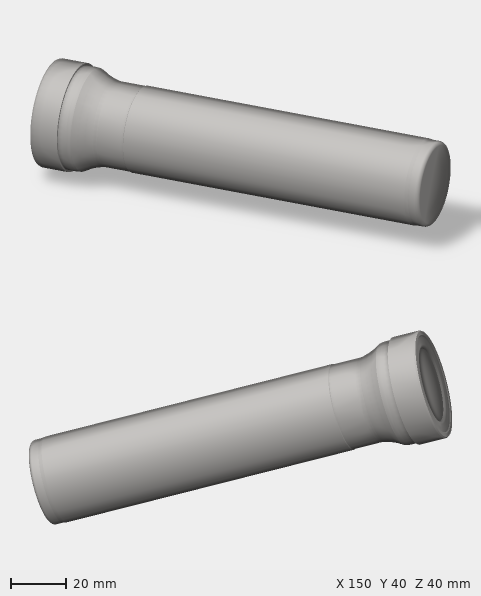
import cadquery as cq
import math

length = 150.0
joint_x = 34.5

head_radius = 40.0 / 2
head_end_x = 10.5
head_edge_length = 0.6
head_edge_drop = 0.3
collar_radius = 19.2
collar_end_x = 13.6
neck_radius = 31.5 / 2

rounding_length = 1.8
flare_start_radius = 38.0 / 2
front_rounding_drop = collar_radius - flare_start_radius
rear_rounding_drop = 0.22
neck_start_x = 24.5
flare_sag = 0.37

recess_mouth_radius = 18.3
bevel_radius = 17.8
bevel_depth = 0.3
dish_radius = 14.8
dish_depth = 0.5
floor_radius = 13.5
step_depth = 0.7
floor_depth = dish_depth + step_depth

barrel_radius = 32.0 / 2
tail_radius = neck_radius
barrel_edge = barrel_radius - neck_radius
taper_start_x = 144.6
taper_end_x = 146.0
tail_rounding = 1.3


def rounding_drop_at(distance, run, drop):
    """Drop of an arc at a distance from its flat end, given its full run and drop."""
    radius = (run**2 + drop**2) / (2 * drop)
    return radius - math.sqrt(radius**2 - distance**2)


def revolve_about_x(profile):
    return profile.close().revolve(360, (0, 0, 0), (1, 0, 0))


def make_head():
    flare_start_x = collar_end_x + rounding_length
    flare_end_x = neck_start_x - rounding_length
    flare_end_radius = neck_radius + rear_rounding_drop
    flare_middle = (
        (flare_start_x + flare_end_x) / 2,
        (flare_start_radius + flare_end_radius) / 2 - flare_sag,
    )
    half_run = rounding_length / 2
    front_middle = (
        collar_end_x + half_run,
        collar_radius - rounding_drop_at(half_run, rounding_length, front_rounding_drop),
    )
    rear_middle = (
        neck_start_x - half_run,
        neck_radius + rounding_drop_at(half_run, rounding_length, rear_rounding_drop),
    )
    step_width = dish_radius - floor_radius
    step_middle = (
        dish_depth + rounding_drop_at(step_width / 2, step_width, step_depth),
        dish_radius - step_width / 2,
    )
    profile = (
        cq.Workplane("XY")
        .moveTo(floor_depth, 0)
        .lineTo(floor_depth, floor_radius)
        .threePointArc(step_middle, (dish_depth, dish_radius))
        .lineTo(bevel_depth, bevel_radius)
        .lineTo(0, recess_mouth_radius)
        .lineTo(0, head_radius - head_edge_drop)
        .lineTo(head_edge_length, head_radius)
        .lineTo(head_end_x, head_radius)
        .lineTo(head_end_x, collar_radius)
        .lineTo(collar_end_x, collar_radius)
        .threePointArc(front_middle, (flare_start_x, flare_start_radius))
        .threePointArc(flare_middle, (flare_end_x, flare_end_radius))
        .threePointArc(rear_middle, (neck_start_x, neck_radius))
        .lineTo(joint_x, neck_radius)
        .lineTo(joint_x, 0)
    )
    return revolve_about_x(profile)


def make_barrel():
    profile = (
        cq.Workplane("XY")
        .moveTo(joint_x, 0)
        .lineTo(joint_x, barrel_radius - barrel_edge)
        .lineTo(joint_x + barrel_edge, barrel_radius)
        .lineTo(taper_start_x, barrel_radius)
        .lineTo(taper_end_x, tail_radius)
        .lineTo(length, tail_radius)
        .lineTo(length, 0)
    )
    return revolve_about_x(profile).faces(">X").edges().fillet(tail_rounding)


head = make_head()
barrel = make_barrel()

result = cq.Compound.makeCompound([head.val(), barrel.val()])